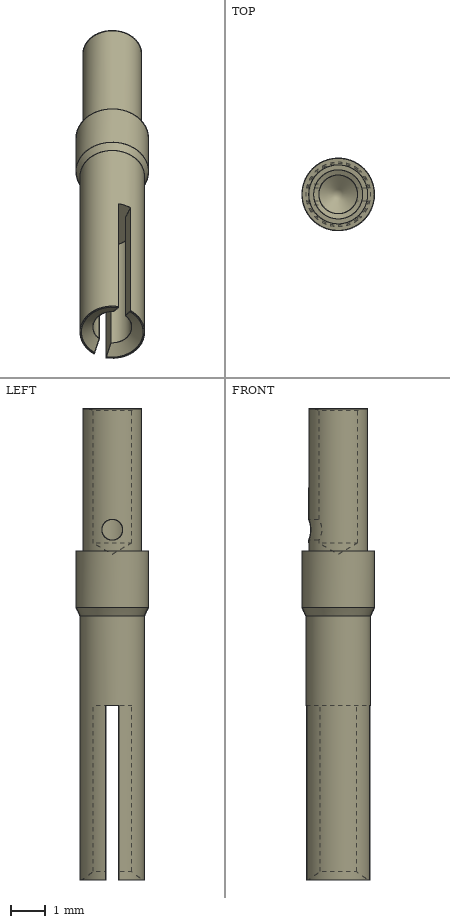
import cadquery as cq

total_length = 13.6
barrel_diameter = 1.7
collar_diameter = 2.1
socket_diameter = 1.86
collar_bottom = 7.62
collar_chamfer_height = 0.25
collar_top = 9.49

wire_bore_diameter = 1.12
wire_bore_depth = 3.88
mouth_diameter = 1.41
mouth_flare_height = 0.05
drill_point_height = 0.33

socket_bore_diameter = 1.12
socket_bore_depth = 5.03
lead_in_diameter = 1.78
lead_in_height = 0.25
slot_width = 0.37
slot_length = socket_bore_depth

inspection_diameter = 0.6
inspection_height = 10.1


def outer_body():
    """Revolved barrel, collar with tapered underside, and socket."""
    barrel_radius = barrel_diameter / 2
    collar_radius = collar_diameter / 2
    socket_radius = socket_diameter / 2
    return (
        cq.Workplane("XZ")
        .polyline([
            (0, 0),
            (socket_radius, 0),
            (socket_radius, collar_bottom),
            (collar_radius, collar_bottom + collar_chamfer_height),
            (collar_radius, collar_top),
            (barrel_radius, collar_top),
            (barrel_radius, total_length),
            (0, total_length),
        ])
        .close()
        .revolve(360, (0, 0), (0, 1))
    )


def wire_bore():
    """Blind bore with a flared mouth and a conical drill point."""
    bore_radius = wire_bore_diameter / 2
    mouth_radius = mouth_diameter / 2
    bore_floor = total_length - wire_bore_depth
    return (
        cq.Workplane("XZ")
        .polyline([
            (0, bore_floor - drill_point_height),
            (bore_radius, bore_floor),
            (bore_radius, total_length - mouth_flare_height),
            (mouth_radius, total_length),
            (0, total_length),
        ])
        .close()
        .revolve(360, (0, 0), (0, 1))
    )


def socket_bore():
    """Flat-bottomed bore with a conical lead-in at the lower end."""
    bore_radius = socket_bore_diameter / 2
    return (
        cq.Workplane("XZ")
        .polyline([
            (0, 0),
            (lead_in_diameter / 2, 0),
            (bore_radius, lead_in_height),
            (bore_radius, socket_bore_depth),
            (0, socket_bore_depth),
        ])
        .close()
        .revolve(360, (0, 0), (0, 1))
    )


def contact_slot():
    """Slot running through both walls along X, open at the lower end."""
    return cq.Workplane("XY").rect(collar_diameter, slot_width).extrude(slot_length)


def inspection_hole():
    return (
        cq.Workplane("YZ")
        .center(0, inspection_height)
        .circle(inspection_diameter / 2)
        .extrude(-barrel_diameter)
    )


result = (
    outer_body()
    .cut(wire_bore())
    .cut(socket_bore())
    .cut(contact_slot())
    .cut(inspection_hole())
)